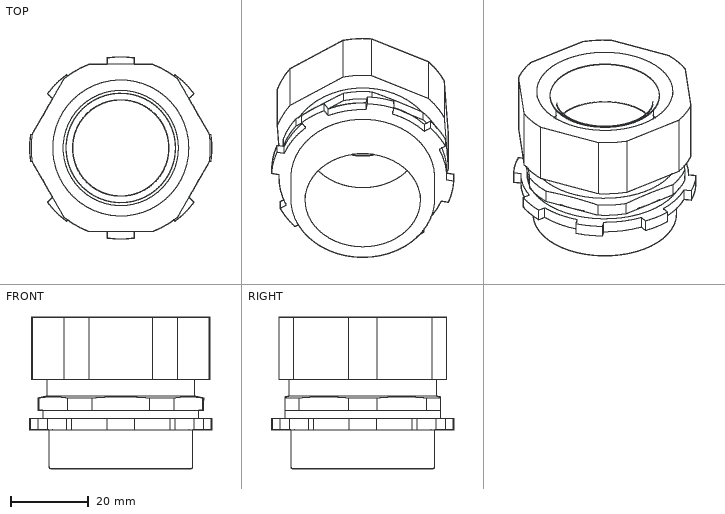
import cadquery as cq
import math

total_height = 39.0
lock_ring_bottom = 10.0
lock_ring_top = 13.0
hex_collar_bottom = 15.0
hex_collar_top = 18.75
nut_bottom = 22.95

spigot_radius = 18.5
spigot_edge_fillet = 0.5
lock_ring_radius = 21.6
tab_tip_radius = 23.45
tab_width = 6.95
tab_count = 8
collar_across_flats = 40.1
collar_corner_radius = 21.35
collar_top_drop = 0.5
neck_radius = 19.0
nut_across_flats = 43.1
nut_corner_radius = 23.05

mouth_radius = 17.5
passage_radius = 14.85
ferrule_radius = 12.35
ferrule_wall = 0.2
ferrule_rim_height = 37.75
flare_radius = 2.25
flare_angle = math.radians(76)
groove_centre_height = 28.45

ferrule_outer_radius = ferrule_radius + ferrule_wall
groove_radius = (mouth_radius - ferrule_outer_radius) / 2
groove_centre_radius = ferrule_outer_radius + groove_radius


def cylinder(radius, bottom, top):
    return cq.Workplane("XY").workplane(offset=bottom).circle(radius).extrude(top - bottom)


def rounded_hexagon(across_flats, corner_radius, bottom, top):
    """Hexagon with flats facing +Y and -Y and its corners turned to a cylinder."""
    across_corners = across_flats / math.cos(math.pi / 6)
    hexagon = (
        cq.Workplane("XY")
        .workplane(offset=bottom)
        .polygon(6, across_corners)
        .extrude(top - bottom)
    )
    return hexagon.intersect(cylinder(corner_radius, bottom, top))


def revolve_profile(profile):
    return profile.close().revolve(360, (0, 0, 0), (0, 1, 0))


def make_hex_collar():
    """Thin hexagon whose top falls away from the neck as a shallow cone."""
    hexagon = rounded_hexagon(
        collar_across_flats, collar_corner_radius, hex_collar_bottom, hex_collar_top
    )
    cone = revolve_profile(
        cq.Workplane("XZ")
        .moveTo(0, hex_collar_bottom)
        .lineTo(collar_corner_radius, hex_collar_bottom)
        .lineTo(collar_corner_radius, hex_collar_top - collar_top_drop)
        .lineTo(neck_radius, hex_collar_top)
        .lineTo(0, hex_collar_top)
    )
    return hexagon.intersect(cone)


def make_lock_ring():
    """Flat ring with evenly spaced tabs of constant width."""
    ring = cylinder(lock_ring_radius, lock_ring_bottom, lock_ring_top)
    tip_disc = cylinder(tab_tip_radius, lock_ring_bottom, lock_ring_top)
    for index in range(tab_count // 2):
        bar = (
            cq.Workplane("XY")
            .workplane(offset=lock_ring_bottom)
            .rect(2 * tab_tip_radius, tab_width)
            .extrude(lock_ring_top - lock_ring_bottom)
            .rotate((0, 0, 0), (0, 0, 1), index * 360 / tab_count)
        )
        ring = ring.union(bar.intersect(tip_disc))
    return ring


def make_outside():
    spigot = cylinder(spigot_radius, 0, lock_ring_bottom)
    spigot = spigot.faces("<Z").edges().fillet(spigot_edge_fillet)
    collar_base = cylinder(collar_across_flats / 2, lock_ring_top, hex_collar_bottom)
    neck = cylinder(neck_radius, hex_collar_top, nut_bottom)
    nut = rounded_hexagon(nut_across_flats, nut_corner_radius, nut_bottom, total_height)
    body = spigot
    for section in (make_lock_ring(), collar_base, make_hex_collar(), neck, nut):
        body = body.union(section)
    return body


def make_groove():
    """Ring of round section whose lower half forms the groove around the ferrule."""
    return cq.Workplane(
        cq.Solid.makeTorus(
            groove_centre_radius, groove_radius, cq.Vector(0, 0, groove_centre_height), cq.Vector(0, 0, 1)
        )
    )


def make_ferrule():
    """Thin tube with an outward flared rim and a half-round foot, still filled in, below the groove."""
    flare_centre_radius = ferrule_radius + flare_radius
    flare_start = ferrule_rim_height - flare_radius * math.sin(flare_angle)
    outer_curve = flare_radius - ferrule_wall
    foot_radius = groove_radius + ferrule_wall

    def on_flare(curve_radius, angle):
        return (
            flare_centre_radius - curve_radius * math.cos(angle),
            flare_start + curve_radius * math.sin(angle),
        )

    return revolve_profile(
        cq.Workplane("XZ")
        .moveTo(ferrule_radius, groove_centre_height)
        .lineTo(ferrule_radius, flare_start)
        .threePointArc(on_flare(flare_radius, flare_angle / 2), on_flare(flare_radius, flare_angle))
        .lineTo(*on_flare(outer_curve, flare_angle))
        .threePointArc(on_flare(outer_curve, flare_angle / 2), (ferrule_outer_radius, flare_start))
        .lineTo(ferrule_outer_radius, groove_centre_height)
        .lineTo(mouth_radius + ferrule_wall, groove_centre_height)
        .threePointArc(
            (groove_centre_radius, groove_centre_height - foot_radius),
            (ferrule_radius, groove_centre_height),
        )
    )


passage = cylinder(passage_radius, 0, total_height)
mouth = cylinder(mouth_radius, groove_centre_height, total_height)
result = make_outside().cut(passage).cut(mouth).union(make_ferrule()).cut(make_groove())